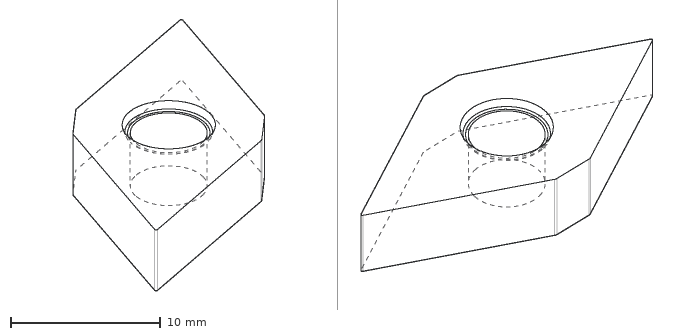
import cadquery as cq
import math

inscribed_diameter = 12.7
thickness = 4.77
tip_angle = math.radians(55)
corner_cut = 1.8
tip_radius = 0.111
cut_edge_radius = 0.39

bore_diameter = 5.15
countersink_diameter = 6.25
countersink_floor_diameter = 5.85
countersink_depth = 0.53
ledge_diameter = 5.52
ledge_drop = 0.1

half_width = inscribed_diameter / 2
tip_y = half_width / math.tan(tip_angle / 2)
obtuse_y = half_width * math.tan(tip_angle / 2)


def make_body():
    """Rhombic plate with flattened obtuse corners and rounded upright edges."""
    cut_x = half_width - corner_cut * math.sin(tip_angle)
    cut_y = obtuse_y + corner_cut * math.cos(tip_angle)
    half_outline = [
        (-half_width, tip_y),
        (-half_width, corner_cut - obtuse_y),
        (-cut_x, -cut_y),
    ]
    opposite_half = [(-x, -y) for x, y in half_outline]
    body = cq.Workplane("XY").polyline(half_outline + opposite_half).close().extrude(thickness)

    middle = thickness / 2
    for x, y in half_outline + opposite_half:
        radius = tip_radius if abs(y) == tip_y else cut_edge_radius
        edge = cq.selectors.NearestToPointSelector((x, y, middle))
        body = body.edges("|Z").edges(edge).fillet(radius)
    return body


def make_hole():
    """Through bore with a steep countersink and a shallow cone and flat ledge at the top."""
    bore_radius = bore_diameter / 2
    floor_radius = countersink_floor_diameter / 2
    ledge_radius = ledge_diameter / 2
    floor_z = thickness - countersink_depth
    ledge_z = floor_z - ledge_drop
    profile = [
        (0, 0),
        (bore_radius, 0),
        (bore_radius, ledge_z),
        (ledge_radius, ledge_z),
        (floor_radius, floor_z),
        (countersink_diameter / 2, thickness),
        (0, thickness),
    ]
    return cq.Workplane("XZ").polyline(profile).close().revolve(360, (0, 0), (0, 1))


result = make_body().cut(make_hole())